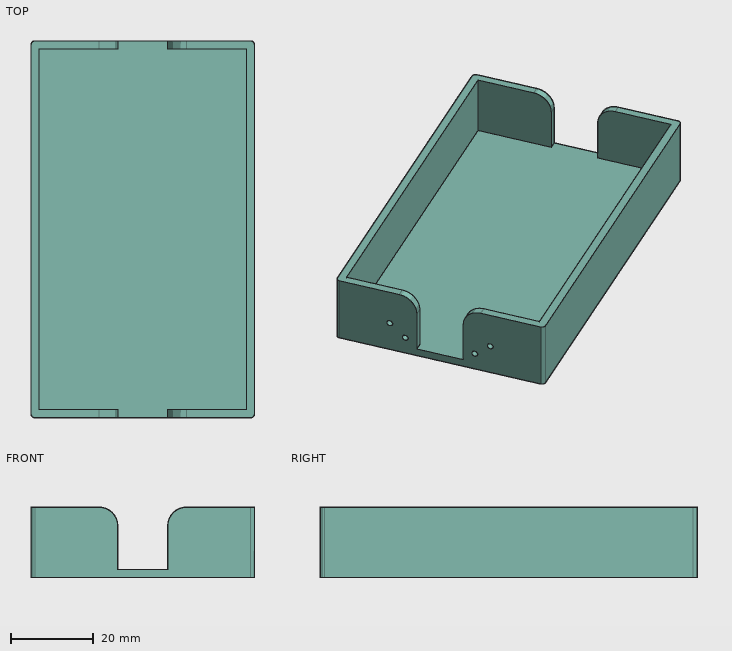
import cadquery as cq

width = 54.0
length = 91.0
height = 17.0
wall = 2.0
corner_radius = 1.0

notch_width = 12.0
notch_round = 4.55

hole_diameter = 1.5
hole_places = [(9.0, 4.55), (13.0, 7.8)]


def tray():
    """Box with rounded upright corners and a square-cornered cavity."""
    body = cq.Workplane("XY").box(width, length, height, centered=(True, True, False))
    body = body.edges("|Z").fillet(corner_radius)
    cavity = (
        cq.Workplane("XY", origin=(0, 0, wall))
        .rect(width - 2 * wall, length - 2 * wall)
        .extrude(height - wall)
    )
    return body.cut(cavity)


def finger_notches():
    """Notch cutter through both end walls, flaring into convex rounds at the rim."""
    half = notch_width / 2
    round_start = height - notch_round
    return (
        cq.Workplane("XZ")
        .moveTo(-half, wall)
        .lineTo(half, wall)
        .lineTo(half, round_start)
        .radiusArc((half + notch_round, height), notch_round)
        .lineTo(-half - notch_round, height)
        .radiusArc((-half, round_start), notch_round)
        .close()
        .extrude(length / 2, both=True)
    )


def rear_holes():
    """Hole cutters through the rear (+Y) end wall."""
    places = [(side * x, z) for side in (-1, 1) for x, z in hole_places]
    return (
        cq.Workplane("XZ", origin=(0, length / 2, 0))
        .pushPoints(places)
        .circle(hole_diameter / 2)
        .extrude(wall)
    )


result = tray().cut(finger_notches()).cut(rear_holes())